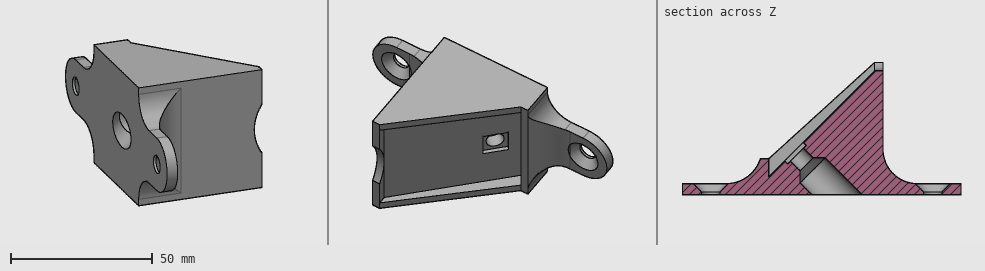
import cadquery as cq
import math

TOTAL_LENGTH = 98.38
HEIGHT = 45.0
DEPTH = 46.8
SHOULDER_DEPTH = 12.8
WALL = 3.0

EAR_RADIUS = 10.0
EAR_THICKNESS = 4.0
EAR_REACH = 17.5
EAR_HOLE_DIAMETER = 6.5
EAR_SINK_DIAMETER = 12.5
BLEND_RADIUS = 10.0
ROOT_RADIUS = 12.0

HALF_LENGTH = TOTAL_LENGTH / 2
EAR_HOLE_X = HALF_LENGTH - EAR_RADIUS
BLOCK_HALF_WIDTH = EAR_HOLE_X - EAR_REACH
INNER_HALF_WIDTH = BLOCK_HALF_WIDTH - WALL

FLOOR_ANGLE = 45.0
FLOOR_TOP_Y = DEPTH - WALL
FLOOR_BOTTOM_Y = FLOOR_TOP_Y - 2 * INNER_HALF_WIDTH * math.tan(math.radians(FLOOR_ANGLE))

BORE_X = 5.4
BORE_DIAMETER = 12.5
BORE_LENGTH = 12.2
SMALL_BORE_DIAMETER = 6.5
CONE_LENGTH = (BORE_DIAMETER - SMALL_BORE_DIAMETER) / 2

RECESS_SIZE = 9.2
RECESS_DEPTH = 1.5

NOTCH_RADIUS = 16.25
NOTCH_DEPTH = 2.9


def extrude_along_y(sketch):
    """Extrude an XZ outline from y = 0 through the full depth."""
    return sketch.extrude(-DEPTH)


def make_front_prism():
    """Outline of block and ears in XZ, with rounded corners between them."""
    block = extrude_along_y(cq.Workplane("XZ").rect(2 * BLOCK_HALF_WIDTH, HEIGHT))
    ears = extrude_along_y(cq.Workplane("XZ").slot2D(TOTAL_LENGTH, 2 * EAR_RADIUS))
    blend_end_x = BLOCK_HALF_WIDTH + BLEND_RADIUS
    blend_end_z = EAR_RADIUS + BLEND_RADIUS
    blend_blocks = extrude_along_y(cq.Workplane("XZ").rect(2 * blend_end_x, 2 * blend_end_z))
    blend_corners = cq.Workplane("XZ").rect(2 * blend_end_x, 2 * blend_end_z, forConstruction=True).vertices()
    blend_cutters = extrude_along_y(blend_corners.circle(BLEND_RADIUS))
    return block.union(ears).union(blend_blocks.cut(blend_cutters))


def make_plan_prism():
    """Outline of the wedge and ears in XY, extruded through the full height."""
    root_end_x = BLOCK_HALF_WIDTH + ROOT_RADIUS
    root_center_y = EAR_THICKNESS + ROOT_RADIUS
    middle_x = root_end_x - ROOT_RADIUS * math.sqrt(0.5)
    middle_y = root_center_y - ROOT_RADIUS * math.sqrt(0.5)
    shoulder_rise = SHOULDER_DEPTH - EAR_THICKNESS
    shoulder_radius = (ROOT_RADIUS**2 + shoulder_rise**2) / (2 * shoulder_rise)
    half_sweep = math.atan2(shoulder_rise, ROOT_RADIUS)
    shoulder_middle_x = root_end_x - shoulder_radius * math.sin(half_sweep)
    shoulder_middle_y = EAR_THICKNESS + shoulder_radius * (1 - math.cos(half_sweep))
    return (
        cq.Workplane("XY")
        .moveTo(-HALF_LENGTH, 0)
        .lineTo(HALF_LENGTH, 0)
        .lineTo(HALF_LENGTH, EAR_THICKNESS)
        .lineTo(root_end_x, EAR_THICKNESS)
        .threePointArc((middle_x, middle_y), (BLOCK_HALF_WIDTH, root_center_y))
        .lineTo(BLOCK_HALF_WIDTH, DEPTH)
        .lineTo(INNER_HALF_WIDTH, DEPTH)
        .lineTo(-INNER_HALF_WIDTH, SHOULDER_DEPTH)
        .lineTo(-BLOCK_HALF_WIDTH, SHOULDER_DEPTH)
        .threePointArc((-shoulder_middle_x, shoulder_middle_y), (-root_end_x, EAR_THICKNESS))
        .lineTo(-HALF_LENGTH, EAR_THICKNESS)
        .close()
        .extrude(HEIGHT / 2, both=True)
    )


def make_ear_holes():
    """Ear holes with a 45 degree countersink on the +Y face of the ears."""
    ear_centers = [(-EAR_HOLE_X, 0), (EAR_HOLE_X, 0)]
    hole_radius = EAR_HOLE_DIAMETER / 2
    sink_radius = EAR_SINK_DIAMETER / 2
    holes = cq.Workplane("XZ").pushPoints(ear_centers).circle(hole_radius).extrude(-EAR_THICKNESS)
    sink_depth = sink_radius - hole_radius
    for x, z in ear_centers:
        sink_top = cq.Vector(x, EAR_THICKNESS, z)
        sink = cq.Solid.makeCone(sink_radius, hole_radius, sink_depth, sink_top, cq.Vector(0, -1, 0))
        holes = holes.union(cq.Workplane(sink))
    return holes


def make_pocket():
    """Space above the sloped floor, inside the rim."""
    return (
        cq.Workplane("XY")
        .moveTo(-INNER_HALF_WIDTH, FLOOR_BOTTOM_Y)
        .lineTo(INNER_HALF_WIDTH, FLOOR_TOP_Y)
        .lineTo(INNER_HALF_WIDTH, DEPTH)
        .lineTo(-INNER_HALF_WIDTH, DEPTH)
        .close()
        .extrude(HEIGHT / 2 - WALL, both=True)
    )


def make_bore():
    """Wide bore, cone and narrow bore on one axis, with the square recess at the pocket floor."""
    angle = math.radians(FLOOR_ANGLE)
    axis = cq.Vector(-math.sin(angle), math.cos(angle), 0)
    start = cq.Vector(BORE_X, 0, 0)
    bore_radius = BORE_DIAMETER / 2
    small_radius = SMALL_BORE_DIAMETER / 2
    floor_y_at_start = FLOOR_TOP_Y - (INNER_HALF_WIDTH - BORE_X) * math.tan(angle)
    floor_distance = floor_y_at_start * math.cos(angle)

    cone_start = start + axis * BORE_LENGTH
    lead_in = BORE_DIAMETER
    wide = cq.Solid.makeCylinder(bore_radius, BORE_LENGTH + lead_in, start - axis * lead_in, axis)
    cone = cq.Solid.makeCone(bore_radius, small_radius, CONE_LENGTH, cone_start, axis)
    narrow = cq.Solid.makeCylinder(small_radius, floor_distance - BORE_LENGTH, cone_start, axis)

    recess_plane = cq.Plane(origin=start + axis * floor_distance, xDir=(0, 0, 1), normal=axis)
    recess = cq.Workplane(recess_plane).rect(RECESS_SIZE, RECESS_SIZE).extrude(-RECESS_DEPTH)
    return recess.union(cq.Workplane(wide)).union(cq.Workplane(cone)).union(cq.Workplane(narrow))


def make_notch():
    notch_center_y = DEPTH - NOTCH_DEPTH + NOTCH_RADIUS
    return (
        cq.Workplane("YZ", origin=(INNER_HALF_WIDTH, 0, 0))
        .center(notch_center_y, 0)
        .circle(NOTCH_RADIUS)
        .extrude(WALL)
    )


body = make_front_prism().intersect(make_plan_prism())
for cutter in (make_ear_holes(), make_pocket(), make_bore(), make_notch()):
    body = body.cut(cutter)
result = body